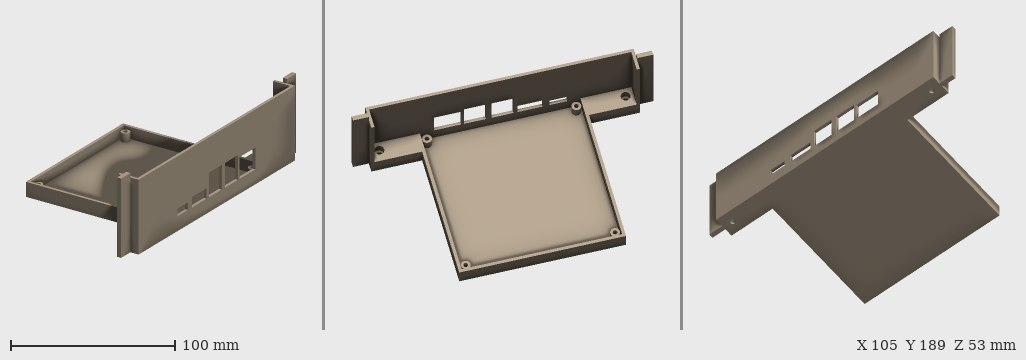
import cadquery as cq

TRAY_SIZE = 105.0
TRAY_HEIGHT = 10.0
WALL = 2.0
FLOOR = 2.0

PANEL_LENGTH = 169.0
PANEL_HEIGHT = 50.0
ARM_WIDTH = 15.0

TAB_LENGTH = 10.0
TAB_THICKNESS = 3.0
TAB_HEIGHT = 53.0

STANDOFF_PITCH = 94.0
STANDOFF_DIAMETER = 6.0
STANDOFF_HOLE_DIAMETER = 2.9
STANDOFF_TOP = 8.0

SCREW_PITCH = 155.0
SCREW_DIAMETER = 3.4
SCREW_HEAD_DIAMETER = 6.1
SCREW_HEAD_DEPTH = 5.0

WINDOW_SILL = TRAY_HEIGHT
WINDOWS = [
    (33.1, 17.0, 24.5),
    (15.925, 13.75, 26.5),
    (-1.5, 13.75, 26.4),
    (-18.8, 15.7, 17.0),
    (-36.675, 11.05, 15.0),
]

ARM_START_X = TRAY_SIZE - ARM_WIDTH
ARM_MIDDLE_X = TRAY_SIZE - ARM_WIDTH / 2
PANEL_INNER_X = TRAY_SIZE - WALL


def block(x_start, x_end, y_middle, y_width, z_start, z_end):
    """Box between two X and two Z limits, centred on y_middle."""
    return (
        cq.Workplane("XY")
        .box(x_end - x_start, y_width, z_end - z_start, centered=(False, True, False))
        .translate((x_start, y_middle, z_start))
    )


def cylinder(x, y, diameter, z_start, z_end):
    """Upright cylinder between two Z limits."""
    return (
        cq.Workplane("XY", origin=(x, y, z_start))
        .circle(diameter / 2)
        .extrude(z_end - z_start)
    )


def make_body():
    """Tray, arms and panel, with the tray hollowed out."""
    tray = block(0, TRAY_SIZE, 0, TRAY_SIZE, 0, TRAY_HEIGHT)
    arms = block(ARM_START_X, TRAY_SIZE, 0, PANEL_LENGTH, 0, PANEL_HEIGHT)
    above_arms = block(
        ARM_START_X, PANEL_INNER_X, 0, PANEL_LENGTH - 2 * WALL, TRAY_HEIGHT, PANEL_HEIGHT
    )
    cavity = block(WALL, PANEL_INNER_X, 0, TRAY_SIZE - 2 * WALL, FLOOR, TRAY_HEIGHT)
    return tray.union(arms).cut(above_arms).cut(cavity)


def add_tabs(body):
    """Flat guide tab standing out from each end of the panel."""
    for side in (-1, 1):
        tab = block(
            ARM_MIDDLE_X - TAB_THICKNESS / 2,
            ARM_MIDDLE_X + TAB_THICKNESS / 2,
            side * (PANEL_LENGTH + TAB_LENGTH) / 2,
            TAB_LENGTH,
            0,
            TAB_HEIGHT,
        )
        body = body.union(tab)
    return body


def add_standoffs(body):
    """Hollow standoff in each corner of the tray, bored down to the floor."""
    for x_side in (-1, 1):
        for y_side in (-1, 1):
            x = TRAY_SIZE / 2 + x_side * STANDOFF_PITCH / 2
            y = y_side * STANDOFF_PITCH / 2
            body = body.union(cylinder(x, y, STANDOFF_DIAMETER, 0, STANDOFF_TOP))
            body = body.cut(cylinder(x, y, STANDOFF_HOLE_DIAMETER, FLOOR, STANDOFF_TOP))
    return body


def cut_screw_holes(body):
    """Counterbored through hole near the end of each arm."""
    for side in (-1, 1):
        y = side * SCREW_PITCH / 2
        head_bottom = TRAY_HEIGHT - SCREW_HEAD_DEPTH
        body = body.cut(cylinder(ARM_MIDDLE_X, y, SCREW_DIAMETER, 0, TRAY_HEIGHT))
        body = body.cut(cylinder(ARM_MIDDLE_X, y, SCREW_HEAD_DIAMETER, head_bottom, TRAY_HEIGHT))
    return body


def cut_windows(body):
    """Rectangular connector windows through the panel, sharing one sill height."""
    for y_middle, width, top in WINDOWS:
        body = body.cut(block(PANEL_INNER_X, TRAY_SIZE, y_middle, width, WINDOW_SILL, top))
    return body


result = make_body()
result = add_tabs(result)
result = add_standoffs(result)
result = cut_screw_holes(result)
result = cut_windows(result)